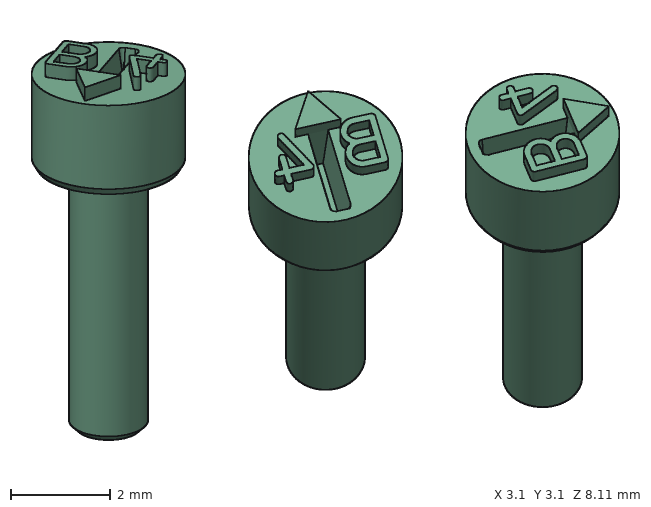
import cadquery as cq
import math

head_diameter = 3.1
head_height = 2.0
head_chamfer_height = 0.15
head_chamfer_inset = head_chamfer_height * math.tan(math.radians(30))
shank_diameter = 1.6
shank_length = 5.81
tip_chamfer = 0.15
neck_groove_width = 0.2
neck_groove_depth = 0.05

raised_height = 0.3

arrow_base_y = -0.6
arrow_tip_y = -1.41
arrow_width = 0.95
slot_width = 0.42
slot_end_y = 1.31
slot_corner_radius = 0.1
slot_depth = 1.0
slot_floor_width = 0.13
slot_taper = math.degrees(math.atan((slot_width - slot_floor_width) / 2 / slot_depth))

stroke = 0.146

b_left = -1.165
b_bottom = -0.58
b_corner_radius = 0.08
b_lower_bowl_x = -0.708
b_lower_counter_radius = 0.181
b_upper_bowl_x = -0.695
b_upper_counter_radius = 0.194

four_bar_y = 0.33
four_bar_start_x = 0.403
four_bar_end_x = 1.065
four_post_x = 0.891
four_post_top_y = 0.55
four_post_bottom_y = -0.012
four_foot_x = 0.793
four_foot_y = -0.505


def make_turned_blank():
    """Head, neck groove and shank as one revolved profile."""
    head_radius = head_diameter / 2
    shank_radius = shank_diameter / 2
    return (
        cq.Workplane("XZ")
        .moveTo(0, head_height)
        .lineTo(head_radius, head_height)
        .lineTo(head_radius, head_chamfer_height)
        .lineTo(head_radius - head_chamfer_inset, 0)
        .lineTo(shank_radius, 0)
        .threePointArc(
            (shank_radius - neck_groove_depth, -neck_groove_width / 2),
            (shank_radius, -neck_groove_width),
        )
        .lineTo(shank_radius, tip_chamfer - shank_length)
        .lineTo(shank_radius - tip_chamfer, -shank_length)
        .lineTo(0, -shank_length)
        .close()
        .revolve(360, (0, 0), (0, 1))
    )


def make_arrow_slot():
    """Slot cutter narrowing downwards, rounded at the end away from the arrow head."""
    half_width = slot_width / 2
    straight_end_y = slot_end_y - slot_corner_radius
    flat_half_width = half_width - slot_corner_radius
    return (
        cq.Workplane("XY")
        .workplane(offset=head_height)
        .moveTo(-half_width, arrow_base_y)
        .lineTo(half_width, arrow_base_y)
        .lineTo(half_width, straight_end_y)
        .radiusArc((flat_half_width, slot_end_y), -slot_corner_radius)
        .lineTo(-flat_half_width, slot_end_y)
        .radiusArc((-half_width, straight_end_y), -slot_corner_radius)
        .close()
        .extrude(-slot_depth, taper=slot_taper)
    )


def make_arrow_head():
    """Raised triangle pointing towards -Y."""
    return (
        cq.Workplane("XY")
        .workplane(offset=head_height)
        .polyline([(-arrow_width / 2, arrow_base_y), (arrow_width / 2, arrow_base_y), (0, arrow_tip_y)])
        .close()
        .extrude(raised_height)
    )


def make_bowl(left, centre_x, centre_y, radius):
    """Raised D shape: a straight left side and a half-round right side."""
    return (
        cq.Workplane("XY")
        .workplane(offset=head_height)
        .moveTo(left, centre_y - radius)
        .lineTo(centre_x, centre_y - radius)
        .threePointArc((centre_x + radius, centre_y), (centre_x, centre_y + radius))
        .lineTo(left, centre_y + radius)
        .close()
        .extrude(raised_height)
    )


def make_letter_b():
    """Letter B: two overlapping bowls, each with an open counter inside."""
    lower_y = b_bottom + stroke + b_lower_counter_radius
    upper_y = lower_y + b_lower_counter_radius + stroke + b_upper_counter_radius
    bowls = [
        (b_lower_bowl_x, lower_y, b_lower_counter_radius),
        (b_upper_bowl_x, upper_y, b_upper_counter_radius),
    ]
    letter = cq.Workplane("XY")
    for centre_x, centre_y, counter_radius in bowls:
        letter = letter.union(make_bowl(b_left, centre_x, centre_y, counter_radius + stroke))
    letter = letter.edges("|Z and <X").fillet(b_corner_radius)
    for centre_x, centre_y, counter_radius in bowls:
        letter = letter.cut(make_bowl(b_left + stroke, centre_x, centre_y, counter_radius))
    return letter


def make_stroke(start, end):
    """Raised straight stroke with round ends centred on the two points."""
    run = end[0] - start[0]
    rise = end[1] - start[1]
    return (
        cq.Workplane("XY")
        .workplane(offset=head_height)
        .center((start[0] + end[0]) / 2, (start[1] + end[1]) / 2)
        .slot2D(math.hypot(run, rise) + stroke, stroke, math.degrees(math.atan2(rise, run)))
        .extrude(raised_height)
    )


def make_figure_four():
    """Inverted figure 4: a crossbar, a short post and a slanted leg."""
    bar_start = (four_bar_start_x, four_bar_y)
    crossbar = make_stroke(bar_start, (four_bar_end_x, four_bar_y))
    post = make_stroke((four_post_x, four_post_bottom_y), (four_post_x, four_post_top_y))
    leg = make_stroke(bar_start, (four_foot_x, four_foot_y))
    return crossbar.union(post).union(leg)


screw = make_turned_blank().cut(make_arrow_slot()).union(make_arrow_head())
letter_b = make_letter_b()
figure_four = make_figure_four()

bodies = [screw, letter_b, figure_four]
result = cq.Compound.makeCompound([body.solids().val() for body in bodies])